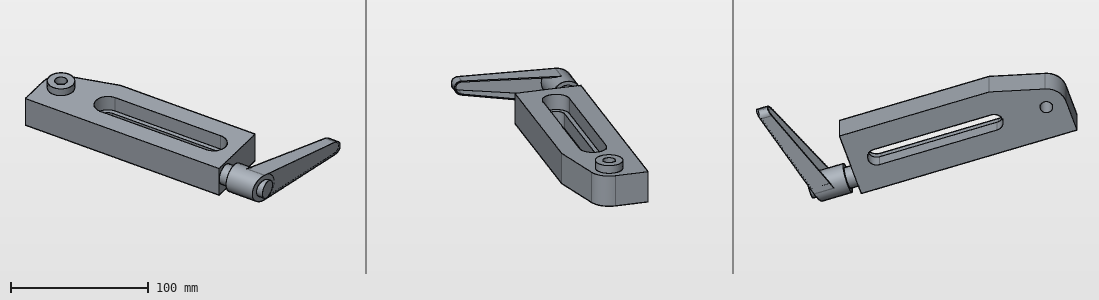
import cadquery as cq
import math

block_length = 165.0
block_width = 50.0
block_height = 24.0
nose_radius = 15.0
nose_slope = 15.0
block_mid_y = block_width / 2

bush_diameter = 20.0
bush_height = 6.0
bore_diameter = 9.1

slot_center_x = 100.0
slot_center_spacing = 90.0
slot_upper_width = 20.0
slot_lower_width = 13.0
slot_step_depth = block_height / 2

lever_axis_y = 8.3
lever_axis_z = 14.0
neck_diameter = 16.0
neck_length = 7.6
collar_diameter = 22.0
boss_diameter = 14.0
boss_end_x = 201.2

tip_x = 217.7
tip_y = 82.0
tip_thickness = 8.3
outer_tilt = 15.0
inner_tilt = 20.0
arm_taper = 4.5
tip_fillet = 5.2
arm_wall = 0.9

collar_radius = collar_diameter / 2
collar_start_x = block_length + neck_length


def make_block():
    """Block with a rounded nose, a sloped flank, a bush bore and a stepped slot."""
    slope = math.radians(nose_slope)
    arc_mid_angle = (math.pi + math.pi / 2 + slope) / 2
    arc_mid = (
        nose_radius + nose_radius * math.cos(arc_mid_angle),
        block_mid_y + nose_radius * math.sin(arc_mid_angle),
    )
    flank_start = (
        nose_radius - nose_radius * math.sin(slope),
        block_mid_y + nose_radius * math.cos(slope),
    )
    flank_end_x = flank_start[0] + (block_width - flank_start[1]) / math.tan(slope)
    block = (
        cq.Workplane("XY")
        .lineTo(block_length, 0)
        .lineTo(block_length, block_width)
        .lineTo(flank_end_x, block_width)
        .lineTo(*flank_start)
        .threePointArc(arc_mid, (0, block_mid_y))
        .close()
        .extrude(block_height)
    )
    bore = (
        cq.Workplane("XY")
        .center(nose_radius, block_mid_y)
        .circle(bore_diameter / 2)
        .extrude(block_height)
    )
    upper_slot = slot_cutter(slot_upper_width, block_height - slot_step_depth)
    lower_slot = slot_cutter(slot_lower_width, 0)
    return block.cut(bore).cut(upper_slot).cut(lower_slot)


def slot_cutter(width, floor_z):
    """Round-ended slot volume from floor_z up to the top of the block."""
    return (
        cq.Workplane("XY", origin=(slot_center_x, block_mid_y, floor_z))
        .slot2D(slot_center_spacing + width, width)
        .extrude(block_height - floor_z)
    )


def make_bush():
    """Ring standing on the block around the bore."""
    return (
        cq.Workplane("XY", origin=(nose_radius, block_mid_y, block_height))
        .circle(bush_diameter / 2)
        .circle(bore_diameter / 2)
        .extrude(bush_height)
    )


def lever_cylinder(diameter, start_x, end_x):
    """Cylinder on the lever axis."""
    return (
        cq.Workplane("YZ", origin=(start_x, lever_axis_y, lever_axis_z))
        .circle(diameter / 2)
        .extrude(end_x - start_x)
    )


def outer_face_x(y):
    """X of the tilted outer face of the lever at a given Y."""
    return tip_x - (tip_y - y) * math.tan(math.radians(outer_tilt))


def inner_face_x(y):
    """X of the tilted inner face of the lever arm at a given Y."""
    return tip_x - tip_thickness - (tip_y - y) * math.tan(math.radians(inner_tilt))


def make_collar():
    """Collar whose outer end is cut by the plane of the arm's outer face."""
    low_y = lever_axis_y - collar_radius
    high_y = lever_axis_y + collar_radius
    side_profile = (
        cq.Workplane("XY", origin=(0, 0, lever_axis_z))
        .moveTo(collar_start_x, low_y)
        .lineTo(outer_face_x(low_y), low_y)
        .lineTo(outer_face_x(high_y), high_y)
        .lineTo(collar_start_x, high_y)
        .close()
        .extrude(collar_radius, both=True)
    )
    return lever_cylinder(collar_diameter, collar_start_x, tip_x).intersect(side_profile)


def tapered_bar(inset):
    """Bar along X with the arm's tapered, round-tipped section, offset inward by inset."""
    taper = math.radians(arm_taper)
    section_radius = collar_radius - inset
    base_y = lever_axis_y + section_radius * math.sin(taper)
    base_half_height = section_radius * math.cos(taper)
    end_y = tip_y - inset
    end_half_height = base_half_height - (end_y - base_y) * math.tan(taper)
    return (
        cq.Workplane("YZ", origin=(collar_start_x, 0, lever_axis_z))
        .moveTo(base_y, -base_half_height)
        .lineTo(end_y, -end_half_height)
        .lineTo(end_y, end_half_height)
        .lineTo(base_y, base_half_height)
        .close()
        .extrude(tip_x - collar_start_x)
        .edges("|X and >Y")
        .fillet(tip_fillet - inset)
    )


def arm_side_profile(outer_wall):
    """Wedge between the inner face and a plane outer_wall behind the outer face."""
    base_y = lever_axis_y + collar_radius * math.sin(math.radians(arm_taper))
    wall_along_x = outer_wall / math.cos(math.radians(outer_tilt))
    return (
        cq.Workplane("XY", origin=(0, 0, lever_axis_z))
        .moveTo(inner_face_x(base_y), base_y)
        .lineTo(outer_face_x(base_y) - wall_along_x, base_y)
        .lineTo(tip_x - wall_along_x, tip_y)
        .lineTo(inner_face_x(tip_y), tip_y)
        .close()
        .extrude(collar_radius, both=True)
    )


def make_arm():
    """Thin-walled arm, tangent to the collar and open on its inner face."""
    arm = tapered_bar(0).intersect(arm_side_profile(0))
    pocket = tapered_bar(arm_wall).intersect(arm_side_profile(arm_wall))
    return arm.cut(pocket)


def make_lever():
    """Clamping lever with its neck against the end face of the block."""
    neck = lever_cylinder(neck_diameter, block_length, collar_start_x)
    boss = lever_cylinder(boss_diameter, collar_start_x, boss_end_x)
    return make_collar().union(neck).union(boss).union(make_arm())


block = make_block().solids()
bush = make_bush().solids()
lever = make_lever().solids()

result = cq.Compound.makeCompound([block.val(), bush.val(), lever.val()])